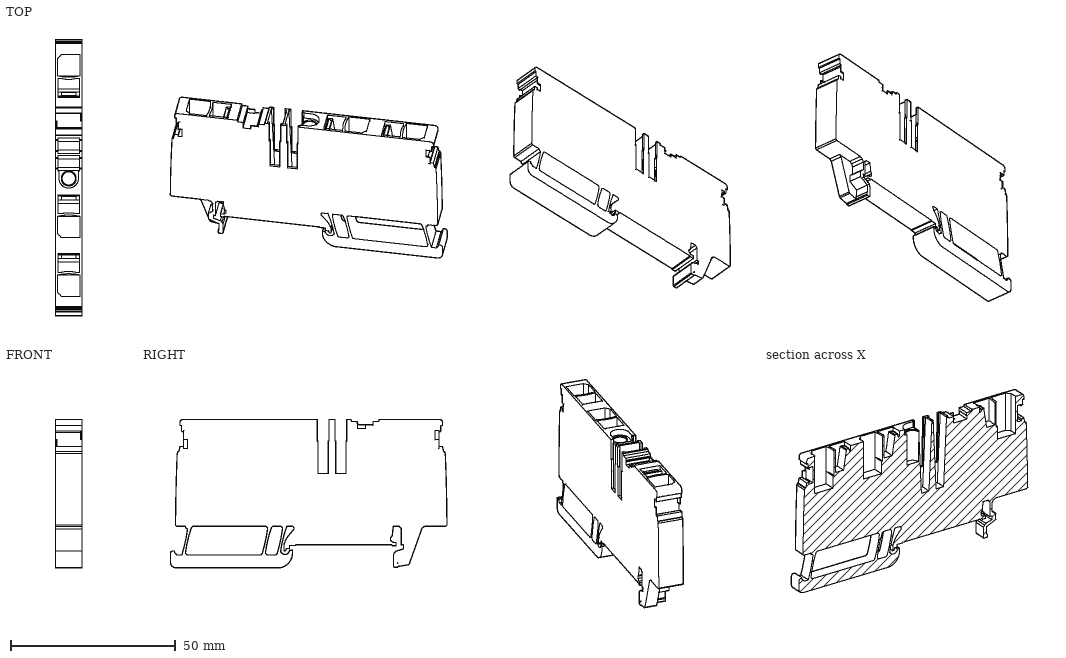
import cadquery as cq
import math

WIDTH = 8.1
TOP_Z = 45.15
BODY_MID_Y = 0.75
BODY_HALF = 41.3
BODY_BOTTOM_Z = 12.6
RAIL_SEAT_Z = 7.0
OVERCUT = 0.8

SHOULDER_HALF = 39.9
SHOULDER_RADIUS = 1.0
BROW_HALF = 39.4
NECK_HALF = 38.85
LEDGE_HALF = 39.9
FLANK_HALF = 40.8
FLANK_MID_HALF = 41.0
FLANK_MID_Z = 27.75
BOTTOM_CORNER = 0.4

MARKER_DEPTH = 1.2
LIP_BASE = 0.5
LIP_TIP = 0.25
NECK_SPLIT_Z = 39.0
NECK_GROOVE_HALF = 2.7
TOP_SHELF_Z = 43.55
TOP_GROOVE_SPLIT_Y = 17.2
TOP_GROOVE_HALF = 2.35

SLOT_BOTTOM_Z = 28.75
SLOT_STEP_Z = 38.5
SLOT_STEP = 0.25
SLOT_CENTERS_Y = (9.75, 4.4)
SLOT_SIDE_WIDTH = 3.0
SLOT_CORE_TOP_WIDTH = 4.7
SLOT_CORE_BOTTOM_WIDTH = 2.6
SLOT_CORE_BOTTOM_Z = 21.9
SLOT_MARGIN = 0.75

SCREW_Y = -0.25
SCREW_RECESS_RADIUS = 2.95
SCREW_RECESS_DEPTH = 1.9
SCREW_HOLE_RADIUS = 2.0
SCREW_HOLE_CHAMFER = 0.25
SCREW_HOLE_DEPTH = 10.1

TERMINALS = ((30.5, 1), (-11.35, -1), (-29.2, -1))
WALL_HALF = 0.4
ENTRY_LENGTH = 6.5
ENTRY_DEPTH = 12.6
ENTRY_X = (0.6, 7.5)
ENTRY_CORNER = 1.3
ENTRY_BULGE = 0.4
BULGE_DEPTH = 8.4
RELEASE_LENGTH = 5.7
RELEASE_X = (0.75, 7.2)
RELEASE_DEPTH = 7.6
RIDGE_DROP = 1.2
CROWN_DROP = 0.8
CROWN_X = (1.85, 6.2)
RELEASE_BULGE = 0.25
RELEASE_FLAT = 1.0

LEG_SHIFTS = (0.0, -4.5, -28.8)
BAR_TOP_Z = 3.95
BAR_END_Y = -42.0
TIP_Z = 5.2
TIP_RADIUS = 0.8
WINDOW_RADIUS = 0.7
LEG_ROOT_RADIUS = 0.75
WEB_START_X = 4.2


def along_width(outline, start=0.0, end=WIDTH):
    """Extrude a closed Y-Z outline from X = start to X = end."""
    return outline.extrude(end - start).translate((start, 0, 0))


def plate(points, start=0.0, end=WIDTH):
    """Plate with a straight-sided Y-Z outline."""
    return along_width(cq.Workplane("YZ").polyline(points).close(), start, end)


def block(x_range, y_range, z_range):
    """Box given by its lowest and highest X, Y and Z."""
    size = [high - low for low, high in (x_range, y_range, z_range)]
    corner = (x_range[0], y_range[0], z_range[0])
    return cq.Workplane("XY").box(*size, centered=False).translate(corner)


def end_profile(side):
    """Points of one housing end, from the top shoulder down to the start of the flank."""
    corners = (
        (SHOULDER_HALF, TOP_Z - SHOULDER_RADIUS),
        (SHOULDER_HALF, 43.2),
        (BROW_HALF, 43.2),
        (BROW_HALF, 41.5),
        (NECK_HALF, 41.2),
        (NECK_HALF, 36.9),
        (LEDGE_HALF, 36.9),
        (LEDGE_HALF + 0.3, 35.3),
        (FLANK_HALF - 0.25, 35.3),
        (FLANK_HALF, 34.8),
    )
    return [(BODY_MID_Y + side * half, z) for half, z in corners]


def housing():
    """Main body above the mounting rail."""
    left, right = BODY_MID_Y + BODY_HALF, BODY_MID_Y - BODY_HALF
    bend = SHOULDER_RADIUS * (1 - math.sqrt(0.5))
    shoulder = SHOULDER_HALF - SHOULDER_RADIUS
    left_end, right_end = end_profile(1), end_profile(-1)
    shelf = [
        (21.4, TOP_Z), (21.2, 44.6), (19.5, 44.6), (19.5, TOP_SHELF_Z), (15.3, TOP_SHELF_Z),
        (14.8, 43.8), (14.8, 44.6), (13.0, 44.6), (12.8, TOP_Z),
    ]
    outline = (
        cq.Workplane("YZ")
        .moveTo(BODY_MID_Y - shoulder, TOP_Z)
        .threePointArc((BODY_MID_Y - SHOULDER_HALF + bend, TOP_Z - bend), right_end[0])
        .polyline(right_end, includeCurrent=False)
        .threePointArc((BODY_MID_Y - FLANK_MID_HALF, FLANK_MID_Z), (right, BODY_BOTTOM_Z + BOTTOM_CORNER))
        .lineTo(right + BOTTOM_CORNER, BODY_BOTTOM_Z)
        .lineTo(left - BOTTOM_CORNER, BODY_BOTTOM_Z)
        .lineTo(left, BODY_BOTTOM_Z + BOTTOM_CORNER)
        .threePointArc((BODY_MID_Y + FLANK_MID_HALF, FLANK_MID_Z), left_end[-1])
    )
    for point in reversed(left_end[:-1]):
        outline = outline.lineTo(*point)
    outline = outline.threePointArc(
        (BODY_MID_Y + SHOULDER_HALF - bend, TOP_Z - bend), (BODY_MID_Y + shoulder, TOP_Z)
    )
    for point in shelf:
        outline = outline.lineTo(*point)
    return along_width(outline.close())


def rail_seat():
    """Lower block with a catch for the mounting rail at each end."""
    outline = (
        cq.Workplane("YZ")
        .moveTo(25.9, BODY_BOTTOM_Z + OVERCUT)
        .lineTo(25.65, 11.9)
        .lineTo(25.4, 9.75)
        .lineTo(24.9, 9.2)
        .lineTo(24.9, 8.4)
        .lineTo(25.6, 7.8)
        .lineTo(26.6, 7.7)
        .lineTo(26.6, 6.7)
        .lineTo(25.4, 6.7)
        .lineTo(25.2, RAIL_SEAT_Z)
        .lineTo(-3.9, RAIL_SEAT_Z)
        .lineTo(-4.0, 6.8)
        .lineTo(-5.8, 6.8)
        .lineTo(-5.8, 5.9)
        .lineTo(-6.7, 5.9)
        .lineTo(-7.1, 5.2)
        .lineTo(-7.6, 5.2)
        .lineTo(-7.6, 7.1)
        .threePointArc((-6.9, 8.75), (-5.9, 10.2))
        .lineTo(-4.6, 11.7)
        .threePointArc((-4.5, 12.3), (-5.1, BODY_BOTTOM_Z))
        .lineTo(-5.1, BODY_BOTTOM_Z + OVERCUT)
    )
    return along_width(outline.close())


def leg_front(shift):
    """Three points down the +Y side of a spring leg."""
    points = ((-6.65, BODY_BOTTOM_Z), (-7.8, 8.75), (-8.7, BAR_TOP_Z))
    return [(y + shift, z) for y, z in points]


def leg_back(shift):
    """Three points down the -Y side of a spring leg."""
    points = ((-7.9, BODY_BOTTOM_Z), (-8.6, 8.6), (-9.75, BAR_TOP_Z))
    return [(y + shift, z) for y, z in points]


def between(front, back):
    """Solid bounded by two leg curves, front on the +Y side and back on the -Y side."""
    outline = (
        cq.Workplane("YZ")
        .moveTo(*front[0])
        .threePointArc(front[1], front[2])
        .lineTo(*back[2])
        .threePointArc(back[1], back[0])
    )
    return along_width(outline.close())


def locking_foot():
    """Spring legs standing on a slide bar."""
    bar = along_width(
        cq.Workplane("YZ")
        .moveTo(-5.0, 5.4)
        .lineTo(-5.9, 5.4)
        .threePointArc((-7.2, 4.1), (-8.5, 4.9))
        .lineTo(-9.75, BAR_TOP_Z)
        .lineTo(-40.1, BAR_TOP_Z)
        .lineTo(-40.8, 4.8)
        .lineTo(-40.8, TIP_Z)
        .lineTo(BAR_END_Y + TIP_RADIUS, TIP_Z)
        .radiusArc((BAR_END_Y, TIP_Z - TIP_RADIUS), -TIP_RADIUS)
        .lineTo(BAR_END_Y, 1.7)
        .threePointArc((-41.5, 0.5), (-40.4, 0.0))
        .lineTo(-8.7, 0.0)
        .threePointArc((-6.3, 1.3), (-5.0, 5.4))
        .close()
    )
    foot = bar.union(between(leg_front(LEG_SHIFTS[0]), leg_back(LEG_SHIFTS[-1])))
    for near, far in zip(LEG_SHIFTS, LEG_SHIFTS[1:]):
        window = between(leg_back(near), leg_front(far))
        foot = foot.cut(window.edges("|X").fillet(WINDOW_RADIUS))
    root_y, root_z = leg_back(LEG_SHIFTS[-1])[0]
    gusset = along_width(
        cq.Workplane("YZ")
        .moveTo(root_y, root_z)
        .lineTo(root_y - LEG_ROOT_RADIUS, root_z)
        .radiusArc((root_y, root_z - LEG_ROOT_RADIUS), -LEG_ROOT_RADIUS)
        .lineTo(root_y + LEG_ROOT_RADIUS, root_z - LEG_ROOT_RADIUS)
        .close()
    )
    return foot.union(gusset)


def latch():
    """Flexible latch at the +Y end of the rail seat, with its stiffening web."""
    strip = plate([
        (30.35, BODY_BOTTOM_Z), (29.4, 12.2), (28.9, 11.3), (28.9, 8.5), (30.3, 7.5),
        (30.3, 5.3), (27.0, 3.9), (27.0, 1.4), (27.2, 1.2), (27.2, 0.4),
        (27.0, 0.2), (26.0, 0.2), (25.7, 0.4), (25.7, 4.0), (26.1, 4.7), (26.6, 5.1), (28.75, 5.8),
        (28.75, RAIL_SEAT_Z), (28.1, RAIL_SEAT_Z), (28.1, 11.9), (27.4, BODY_BOTTOM_Z),
    ])
    web = plate(
        [
            (35.2, BODY_BOTTOM_Z), (34.5, 12.1), (30.6, 1.3), (30.3, 0.9), (27.2, 0.4),
            (26.6, 3.9), (29.4, 5.6), (29.4, 7.5), (28.5, 8.5), (28.5, BODY_BOTTOM_Z),
        ],
        WEB_START_X,
    )
    return strip.union(web)


def marker_groove(half_length):
    """Groove cutter with its floor at Z = 0, leaving a bevelled lip on alternate sides."""
    profile = [
        (0, 0), (WIDTH - LIP_BASE, 0), (WIDTH - LIP_TIP, MARKER_DEPTH), (0, MARKER_DEPTH),
    ]
    section = cq.Workplane("XZ").polyline(profile).close().extrude(-half_length)
    return section.union(section.rotate((WIDTH / 2, 0, 0), (WIDTH / 2, 0, 1), 180))


def marker_grooves():
    """Grooves at both ends and on the top shelf."""
    neck = marker_groove(NECK_GROOVE_HALF)
    floor_half = NECK_HALF - MARKER_DEPTH
    left = neck.rotate((0, 0, 0), (1, 0, 0), -90).translate((0, BODY_MID_Y + floor_half, NECK_SPLIT_Z))
    right = neck.rotate((0, 0, 0), (1, 0, 0), 90).translate((0, BODY_MID_Y - floor_half, NECK_SPLIT_Z))
    top_place = (0, TOP_GROOVE_SPLIT_Y, TOP_SHELF_Z - MARKER_DEPTH)
    top = marker_groove(TOP_GROOVE_HALF).translate(top_place)
    return top.union(left).union(right)


def jumper_slot(center_y):
    """Slot that is narrow at both sides and wide, with sloping walls, in its core."""
    low = SLOT_SIDE_WIDTH / 2
    high = low + SLOT_STEP
    top = TOP_Z + OVERCUT
    sides = plate([
        (center_y - low, SLOT_BOTTOM_Z), (center_y + low, SLOT_BOTTOM_Z),
        (center_y + low, SLOT_STEP_Z), (center_y + high, SLOT_STEP_Z), (center_y + high, top),
        (center_y - high, top), (center_y - high, SLOT_STEP_Z), (center_y - low, SLOT_STEP_Z),
    ])
    core_low = SLOT_CORE_BOTTOM_WIDTH / 2
    core_high = SLOT_CORE_TOP_WIDTH / 2
    core = plate(
        [
            (center_y - core_low, SLOT_CORE_BOTTOM_Z), (center_y + core_low, SLOT_CORE_BOTTOM_Z),
            (center_y + core_high, TOP_Z), (center_y - core_high, TOP_Z),
        ],
        SLOT_MARGIN,
        WIDTH - SLOT_MARGIN,
    )
    return sides.union(core)


def screw_recess():
    """U-shaped recess opening into the nearer slot, with a screw hole in its floor."""
    floor_z = TOP_Z - SCREW_RECESS_DEPTH
    center_x = WIDTH / 2
    round_end = (
        cq.Workplane("XY", origin=(center_x, SCREW_Y, floor_z))
        .circle(SCREW_RECESS_RADIUS)
        .extrude(SCREW_RECESS_DEPTH + OVERCUT)
    )
    channel = block(
        (center_x - SCREW_RECESS_RADIUS, center_x + SCREW_RECESS_RADIUS),
        (SCREW_Y, SLOT_CENTERS_Y[1]),
        (floor_z, TOP_Z + OVERCUT),
    )
    hole = (
        cq.Workplane("XY", origin=(center_x, SCREW_Y, floor_z))
        .circle(SCREW_HOLE_RADIUS + SCREW_HOLE_CHAMFER)
        .workplane(offset=-SCREW_HOLE_CHAMFER)
        .circle(SCREW_HOLE_RADIUS)
        .loft()
        .faces("<Z").workplane()
        .circle(SCREW_HOLE_RADIUS)
        .extrude(SCREW_HOLE_DEPTH)
    )
    return round_end.union(channel).union(hole)


def wire_entry(wall_y, direction):
    """Deep wire pocket with one bevelled corner, its dividing wall bulged near the top."""
    near = wall_y + direction * WALL_HALF
    far = near + direction * ENTRY_LENGTH
    low_x, high_x = ENTRY_X
    pocket = (
        cq.Workplane("XY", origin=(0, 0, TOP_Z - ENTRY_DEPTH))
        .polyline([
            (low_x, near), (high_x, near), (high_x, far),
            (low_x + ENTRY_CORNER, far), (low_x, far - direction * ENTRY_CORNER),
        ])
        .close()
        .extrude(ENTRY_DEPTH + OVERCUT)
    )
    bulge = (
        cq.Workplane("XY", origin=(0, 0, TOP_Z - BULGE_DEPTH))
        .moveTo(low_x, near)
        .threePointArc((WIDTH / 2, near - direction * ENTRY_BULGE), (high_x, near))
        .close()
        .extrude(BULGE_DEPTH + OVERCUT)
    )
    return pocket.union(bulge)


def release_opening(wall_y, direction):
    """Screwdriver opening with a raised ridge beside its far end."""
    near = wall_y - direction * WALL_HALF
    far = near - direction * RELEASE_LENGTH
    low_x, high_x = RELEASE_X
    outline = (
        cq.Workplane("XY", origin=(0, 0, TOP_Z - RELEASE_DEPTH))
        .moveTo(low_x, near)
        .lineTo(low_x + RELEASE_FLAT, near)
        .threePointArc((WIDTH / 2, near - direction * RELEASE_BULGE), (high_x - RELEASE_FLAT, near))
        .lineTo(high_x, near)
        .lineTo(high_x, far)
        .lineTo(low_x, far)
    )
    pocket = outline.close().extrude(RELEASE_DEPTH + OVERCUT)
    ridge = (
        (3.1, RELEASE_DEPTH), (4.1, RIDGE_DROP), (5.3, RIDGE_DROP),
        (5.5, 1.85), (RELEASE_LENGTH, 1.85), (RELEASE_LENGTH, RELEASE_DEPTH),
    )
    crown = ((4.2, RIDGE_DROP), (4.2, CROWN_DROP), (5.2, CROWN_DROP), (5.2, RIDGE_DROP))
    for section, (start, end) in ((ridge, RELEASE_X), (crown, CROWN_X)):
        points = [(near - direction * run, TOP_Z - drop) for run, drop in section]
        pocket = pocket.cut(plate(points, start, end))
    return pocket


result = housing().union(rail_seat()).union(locking_foot()).union(latch())
result = result.cut(marker_grooves())
for slot_y in SLOT_CENTERS_Y:
    result = result.cut(jumper_slot(slot_y))
result = result.cut(screw_recess())
for wall_y, direction in TERMINALS:
    result = result.cut(wire_entry(wall_y, direction))
    result = result.cut(release_opening(wall_y, direction))